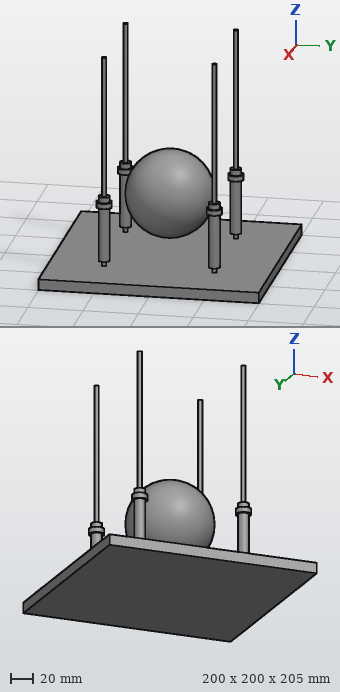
import cadquery as cq

plate_side = 200.0
plate_thickness = 10.0

post_spacing = plate_side / 2
post_top = 205.0
rod_diameter = 4.0
sleeve_diameter = 10.0
sleeve_bottom = 15.0
sleeve_top = 75.0
collar_diameter = 14.0
collar_bottom = 65.0
collar_top = 70.0

ball_diameter = 80.0
ball_center_height = 65.0


def cylinder(diameter, bottom, top):
    """Upright cylinder on the Z axis between two heights."""
    return cq.Workplane("XY").workplane(offset=bottom).circle(diameter / 2).extrude(top - bottom)


def make_post():
    """Thin rod carrying a sleeve with a collar near its upper end."""
    rod = cylinder(rod_diameter, plate_thickness, post_top)
    sleeve = cylinder(sleeve_diameter, sleeve_bottom, sleeve_top)
    collar = cylinder(collar_diameter, collar_bottom, collar_top)
    return rod.union(sleeve).union(collar)


def make_stand():
    """Square plate with a post standing at each corner of the pattern."""
    stand = cq.Workplane("XY").box(plate_side, plate_side, plate_thickness, centered=(True, True, False))
    for x_side in (-1, 1):
        for y_side in (-1, 1):
            position = (x_side * post_spacing / 2, y_side * post_spacing / 2, 0)
            stand = stand.union(make_post().translate(position))
    return stand


def make_ball():
    """Solid sphere above the centre of the plate."""
    return cq.Workplane("XY").sphere(ball_diameter / 2).translate((0, 0, ball_center_height))


stand = make_stand()
ball = make_ball()

result = cq.Compound.makeCompound([stand.val(), ball.val()])